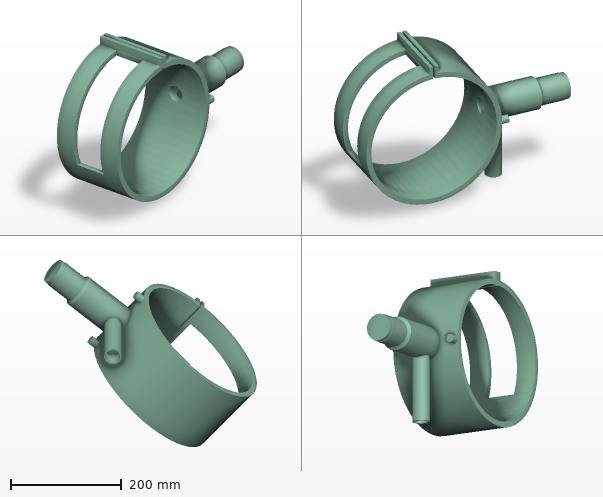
import cadquery as cq

band_width = 138.0
band_outer_radius = 135.0
band_wall = 10.5
band_inner_radius = band_outer_radius - band_wall

split_gap = 4.5
ear_thickness = 7.0
ear_top = 150.0

window_width = 61.0
window_bottom = -50.0
window_edge_y = -10.0

peg_diameter = 15.0
peg_end_y = 150.0
peg_offset = (band_width - peg_diameter) / 2

stem_radius = 31.0
stem_end_y = 238.0
chamfer_length = 5.0
bore_diameter = 30.0

plug_diameter = 51.0
plug_radius = plug_diameter / 2
plug_end_y = 294.0
tip_radius = 24.5
tip_length = 9.5

branch_diameter = 31.7
branch_bore_diameter = 26.0
branch_y = 150.0
branch_bottom = -147.5

bore_end_y = branch_y + branch_bore_diameter / 2


def cylinder_along_x(radius):
    """Round bar as long as the band is wide, centred on the origin."""
    return cq.Workplane("YZ", origin=(-band_width / 2, 0, 0)).circle(radius).extrude(band_width)


def bar_along_y(radius, start_y, end_y, x=0):
    return cq.Workplane("XZ", origin=(x, start_y, 0)).circle(radius).extrude(start_y - end_y)


def bar_along_branch(diameter):
    """Vertical round bar from the open end of the branch up to the stem axis."""
    return (
        cq.Workplane("XY", origin=(0, branch_y, branch_bottom))
        .circle(diameter / 2)
        .extrude(-branch_bottom)
    )


def make_ears():
    ears_thickness = split_gap + 2 * ear_thickness
    return cq.Workplane("XY").box(band_width, ears_thickness, ear_top, centered=(True, True, False))


def make_split():
    return cq.Workplane("XY").box(band_width, split_gap, ear_top, centered=(True, True, False))


def make_window():
    return (
        cq.Workplane("XY", origin=(0, window_edge_y - band_outer_radius, window_bottom))
        .box(window_width, band_outer_radius, ear_top - window_bottom, centered=(True, False, False))
    )


def make_stem():
    return bar_along_y(stem_radius, 0, stem_end_y).faces(">Y").chamfer(
        chamfer_length, stem_radius - plug_radius
    )


def make_clamp():
    """Band, ears, pegs, stem and branch in one piece, with connected bores."""
    clamp = (
        cylinder_along_x(band_outer_radius)
        .union(make_ears())
        .union(make_stem())
        .union(bar_along_branch(branch_diameter))
    )
    for x in (-peg_offset, peg_offset):
        clamp = clamp.union(bar_along_y(peg_diameter / 2, 0, peg_end_y, x))
    return (
        clamp.cut(cylinder_along_x(band_inner_radius))
        .cut(make_split())
        .cut(make_window())
        .cut(bar_along_y(bore_diameter / 2, 0, bore_end_y))
        .cut(bar_along_branch(branch_bore_diameter))
    )


def make_plug():
    tip_start_y = plug_end_y - tip_length
    body = bar_along_y(plug_radius, stem_end_y, tip_start_y)
    return body.union(bar_along_y(tip_radius, tip_start_y, plug_end_y))


clamp = make_clamp()
plug = make_plug()

result = cq.Compound.makeCompound([clamp.val(), plug.val()])